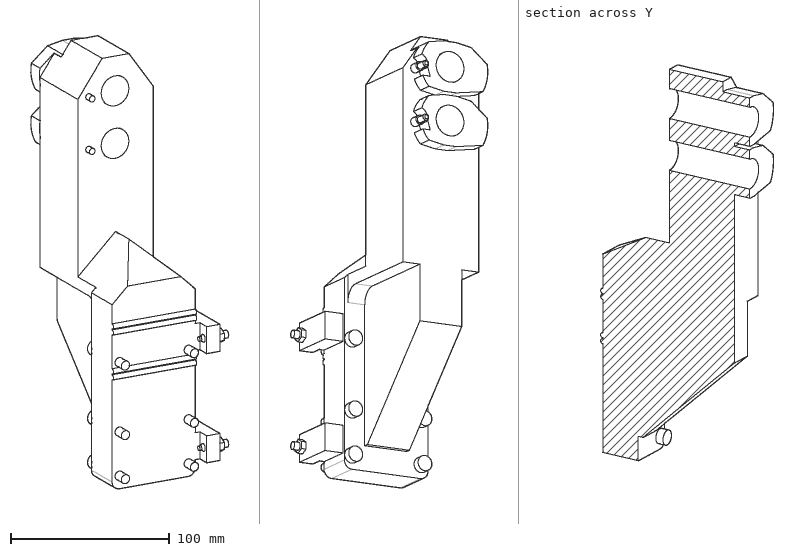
import cadquery as cq
import math


overall_width = 80.0
height = 268.5

column_depth = 49.0
column_width = 54.2
column_offset = 0.4
column_bottom = 117.9
crown_flat = 19.3
crown_drop = 24.5
notch_depth = 8.9
notch_drop = 10.0
notch_floor = height - notch_drop
foot_height = 8.3

flange_front = 72.5
flange_thickness = 26.8
flange_back = flange_front + flange_thickness
flange_width = 60.0
flange_corner = 5.5
ridge_height = 152.0
ridge_end = 66.3
roof_back_height = 133.7
foot_top = column_bottom + foot_height
roof_slope = (ridge_height - foot_top) / (column_width / 2)

web_width = 30.0
web_front_bottom = 81.0
web_toe = 69.0
web_bottom = 16.5
web_fillet = 10.0

bolt_heights = (84.3, 38.0, 8.9)
bolt_spacing = 49.7
bolt_head_diameter = 10.0
bolt_head_length = 5.5
bolt_shank_diameter = 6.0
bolt_shank_length = 8.0

clamp_heights = (91.8, 19.3)
rib_diameter = 3.5
rib_offsets = (13.0, 17.0)
clamp_front = 74.5
clamp_back = 108.2
clamp_height = 18.0
clamp_thickness = 13.0
lip_gap = 3.2
stud_diameter = 5.0
stud_end = overall_width - flange_width / 2
nut_flats = 8.0
nut_thickness = 3.2
nose_diameter = 3.0
cone_length = 2.0

pad_heights = (245.5, 210.5)
pad_thickness = 11.3
hole_diameter = 20.0
pad_top = 16.5
pad_flat = 8.9
pad_knee_y = 15.0
pad_knee_z = 14.5
pad_inner_radius = 21.0
pad_outer_radius = 27.0
outer_top_z = 4.8
outer_bottom_z = -13.2
relief_top_z = 6.0
relief_floor_z = -7.8
relief_arc_start = (15.8, -2.1)
relief_arc_middle = (16.6, 2.5)
relief_corner_y = 14.2

pin_y = 19.0
pin_drop = 0.8
pin_diameter = 4.0
pin_collar_diameter = 6.0
pin_collar_length = 7.0
pin_front = 15.3
pin_back = 4.8
pin_chamfer = 0.8


def box(x0, x1, y0, y1, z0, z1):
    return cq.Workplane("XY").box(x1 - x0, y1 - y0, z1 - z0, centered=False).translate((x0, y0, z0))


def rod_x(diameter, x0, x1, y, z):
    return cq.Workplane("YZ", origin=(x0, y, z)).circle(diameter / 2).extrude(x1 - x0)


def make_column():
    half = column_width / 2
    shoulder = height - crown_drop
    outline = [
        (-half, column_bottom), (half, column_bottom), (half, shoulder),
        (crown_flat / 2, height), (-crown_flat / 2, height), (-half, shoulder),
    ]
    column = cq.Workplane("YZ").polyline(outline).close().extrude(column_depth)
    column = column.cut(box(0, notch_depth, -half, half, notch_floor, height))
    foot = box(0, flange_front, -half, half, column_bottom, foot_top)
    return column.union(foot).translate((0, column_offset, 0))


def make_flange():
    half = flange_width / 2
    plate = box(flange_front, flange_back, -half, half, 0, ridge_height)
    plate = plate.edges("|X and <Z").fillet(flange_corner)
    bridge = box(column_depth, flange_front, column_offset - column_width / 2,
                 column_offset + column_width / 2, foot_top, ridge_height)

    eave_y = half + column_offset
    eave_height = ridge_height - roof_slope * eave_y
    gable = (
        cq.Workplane("YZ")
        .polyline([(-eave_y, 0), (eave_y, 0), (eave_y, eave_height),
                   (0, ridge_height), (-eave_y, eave_height)])
        .close().extrude(flange_back).translate((0, column_offset, 0))
    )
    hip = (
        cq.Workplane("XZ")
        .polyline([(0, 0), (flange_back, 0), (flange_back, roof_back_height),
                   (ridge_end, ridge_height), (0, ridge_height)])
        .close().extrude(half + column_offset, both=True)
    )
    return plate.union(bridge).intersect(gable).intersect(hip)


def make_web():
    web = (
        cq.Workplane("XZ")
        .polyline([(0, column_bottom), (0, web_front_bottom), (web_toe, web_bottom),
                   (flange_front, web_bottom), (flange_front, column_bottom)])
        .close().extrude(web_width / 2, both=True)
    )
    corner = (
        cq.Workplane("XZ")
        .moveTo(flange_front, column_bottom)
        .lineTo(flange_front - web_fillet, column_bottom)
        .radiusArc((flange_front, column_bottom - web_fillet), web_fillet)
        .close().extrude(column_width / 2, both=True)
    )
    return web.union(corner).translate((0, column_offset, 0))


def make_bolt(y, z):
    head = rod_x(bolt_head_diameter, flange_front - bolt_head_length, flange_front, y, z)
    shank = rod_x(bolt_shank_diameter, flange_front, flange_back + bolt_shank_length, y, z)
    return head.union(shank)


def make_rib(z):
    return (
        cq.Workplane("XZ", origin=(flange_back, 0, z))
        .circle(rib_diameter / 2).extrude(flange_width / 2, both=True)
    )


def make_clamp(z):
    inner = flange_width / 2
    outer = inner + clamp_thickness
    lip = inner + lip_gap
    arm = (
        cq.Workplane("XY")
        .polyline([(clamp_front, inner), (flange_back, inner), (flange_back, lip),
                   (clamp_back, lip), (clamp_back, outer), (clamp_front, outer)])
        .close().extrude(clamp_height / 2, both=True)
    )
    stud_x = (flange_back + clamp_back) / 2
    stud = (
        cq.Workplane("XY")
        .polyline([(0, inner), (nose_diameter / 2, inner), (nose_diameter / 2, lip - cone_length),
                   (stud_diameter / 2, lip), (stud_diameter / 2, stud_end), (0, stud_end)])
        .close().revolve(360, (0, 0), (0, 1)).translate((stud_x, 0, 0))
    )
    nut_corners = nut_flats / math.cos(math.radians(30))
    nut = (
        cq.Workplane("XZ", origin=(stud_x, outer + nut_thickness, 0))
        .transformed(rotate=(0, 0, 90)).polygon(6, nut_corners).extrude(nut_thickness)
    )
    return arm.union(stud).union(nut).translate((0, 0, z))


def make_pad(z):
    def on_circle(radius, height_above_axis, side):
        return side * math.sqrt(radius ** 2 - height_above_axis ** 2), height_above_axis

    flat = pad_flat / 2
    outline = (
        cq.Workplane("YZ")
        .moveTo(flat, pad_top)
        .lineTo(-flat, pad_top)
        .lineTo(-pad_knee_y, pad_knee_z)
        .lineTo(*on_circle(pad_outer_radius, outer_top_z, -1))
        .threePointArc((-pad_outer_radius, 0), on_circle(pad_outer_radius, outer_bottom_z, -1))
        .lineTo(-flat, -pad_top)
        .lineTo(flat, -pad_top)
        .lineTo(pad_knee_y, -pad_knee_z)
        .threePointArc(on_circle(pad_inner_radius, (relief_floor_z - pad_knee_z) / 2, 1),
                       on_circle(pad_inner_radius, relief_floor_z, 1))
        .lineTo(relief_corner_y, relief_floor_z)
        .lineTo(*relief_arc_start)
        .threePointArc(relief_arc_middle, on_circle(pad_inner_radius, relief_top_z, 1))
        .threePointArc(on_circle(pad_inner_radius, (relief_top_z + pad_knee_z) / 2, 1),
                       (pad_knee_y, pad_knee_z))
        .close()
    )
    pad = outline.extrude(pad_thickness + notch_depth).translate((-pad_thickness, 0, z))
    return pad.cut(box(0, column_depth, -column_width, column_width, 0, notch_floor))


def make_pins(z):
    front = rod_x(pin_diameter, -pin_front, 0, pin_y, z).faces("<X").chamfer(pin_chamfer)
    collar = rod_x(pin_collar_diameter, -pin_collar_length, 0, pin_y, z)
    back = rod_x(pin_diameter, column_depth, column_depth + pin_back, -pin_y, z)
    return front.union(collar).union(back)


result = make_column().union(make_flange()).union(make_web())

for bolt_z in bolt_heights:
    for side in (-1, 1):
        result = result.union(make_bolt(side * bolt_spacing / 2, bolt_z))

for offset in rib_offsets:
    for side in (-1, 1):
        result = result.union(make_rib(clamp_heights[0] + side * offset))

for clamp_z in clamp_heights:
    result = result.union(make_clamp(clamp_z))

for pad_z in pad_heights:
    result = result.union(make_pad(pad_z)).union(make_pins(pad_z - pin_drop))

for pad_z in pad_heights:
    result = result.cut(rod_x(hole_diameter, -pad_thickness, column_depth, 0, pad_z))